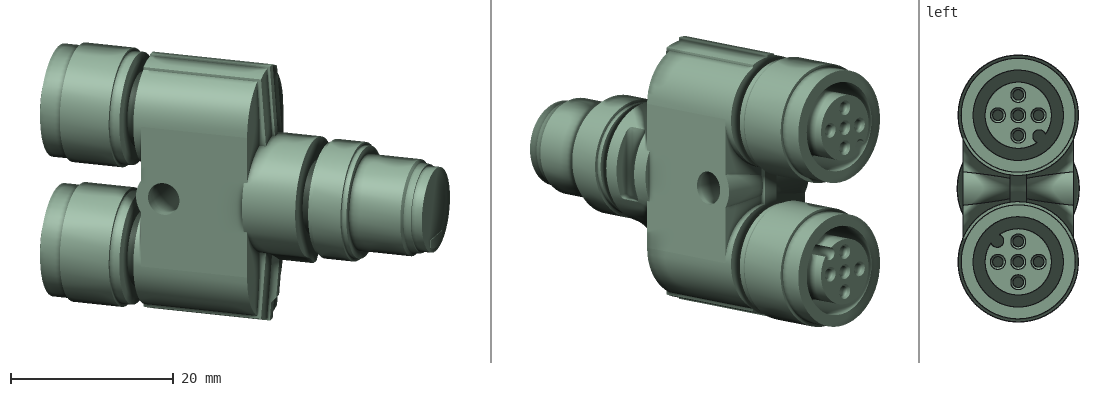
import cadquery as cq
import math


SOCKET_OFFSET = 9.0
INSERT_RADIUS = 4.07
SOCKET_BORE_RADIUS = 5.55
SOCKET_BORE_END = 8.0
SOCKET_NUT_FRONT = 1.0
SOCKET_GRIP_START = 3.7
SOCKET_GRIP_END = 10.05
SOCKET_CHAMFER_START = 11.3
SOCKET_NUT_END = 11.55
SOCKET_CHAMFER_RADIUS = 6.2
CONTACT_PITCH_RADIUS = 2.5
CONTACT_MOUTH_RADIUS = 0.92
CONTACT_RADIUS = 0.65
CONTACT_DEPTH = 5.0
OUTER_CONTACTS = 4
KEYWAY_RADIUS = 0.8
KEYWAY_PITCH_RADIUS = 3.65

GRIP_RADIUS = 7.395
NUT_RADIUS = 7.0
NECK_RADIUS = 4.67

BODY_START = 13.05
BODY_END = 27.83
BODY_RADIUS = 6.8
BAND_RADIUS = 7.11
BAND_END = 28.28
BAND_WIDTH = 6.0
RIB_RADIUS = 7.39
RIB_END = 28.62
RIB_WIDTH = 1.06
END_SLOPE = 0.075

RECESS_DEPTH = 1.0
FLOOR_DRAFT = math.radians(4.2)
WEB_WIDTH = 2.0
HOLE_X = 17.0
HOLE_RADIUS = 2.04
BOSS_RADIUS = 3.6

COLLAR_START = 27.4
COLLAR_END = 34.31
COLLAR_RADIUS = 7.5
KEEL_BOTTOM = -8.37
KEEL_BLEND_ANGLE = math.radians(70)
KEEL_FRONT_TOP_X = 29.2
KEEL_FRONT_TOP_Z = -7.45
POCKET_START = 29.4
POCKET_LENGTH = 3.1
POCKET_FLOOR_Y = 5.3
POCKET_BOTTOM_Z = -3.56
POCKET_CORNER = 0.5

FIN_TOP_X = 29.85
FIN_LOW_X = 29.45
FIN_LOW_Z = -13.3
FIN_TIP_X = 28.6
FIN_TIP_Z = -14.2

PLUG_NUT_START = 35.82
PLUG_GRIP_START = 36.39
PLUG_GRIP_END = 40.16
PLUG_NUT_END = 40.8
PLUG_RADIUS = 6.0
PLUG_SHOULDER = 47.44
PLUG_BEVEL_END = 47.75
PLUG_BEVEL_RADIUS = 5.65
PLUG_LIP_END = 48.64
PLUG_LIP_RADIUS = 5.5
PLUG_TIP_RADIUS = 5.3
PLUG_TIP_END = 50.0
TAB_LENGTH = 0.08
TAB_WIDTH = 4.4
TAB_TOP = -3.3
TAB_RADIUS = 4.8


def rod(start, end, radius, y=0.0, z=0.0):
    """Cylinder along X."""
    return cq.Workplane("YZ", origin=(start, y, z)).circle(radius).extrude(end - start)


def turned(profile):
    """Solid of revolution about the X axis from (x, radius) points."""
    return cq.Workplane("XY").polyline(profile).close().revolve(360, (0, 0, 0), (1, 0, 0))


def block(x_range, y_range, z_range):
    """Box between the given limits."""
    size = [high - low for low, high in (x_range, y_range, z_range)]
    corner = (x_range[0], y_range[0], z_range[0])
    return cq.Workplane("XY").box(*size, centered=False).translate(corner)


def make_socket():
    """One socket centred on the X axis, with its keyway towards -Y and -Z."""
    socket = turned([
        (SOCKET_NUT_FRONT, 0),
        (SOCKET_NUT_FRONT, NUT_RADIUS),
        (SOCKET_GRIP_START, NUT_RADIUS),
        (SOCKET_GRIP_START, GRIP_RADIUS),
        (SOCKET_GRIP_END, GRIP_RADIUS),
        (SOCKET_GRIP_END, NUT_RADIUS),
        (SOCKET_CHAMFER_START, NUT_RADIUS),
        (SOCKET_NUT_END, SOCKET_CHAMFER_RADIUS),
        (SOCKET_NUT_END, NECK_RADIUS),
        (BODY_START, NECK_RADIUS),
        (BODY_START, 0),
    ])
    socket = socket.cut(rod(0, SOCKET_BORE_END, SOCKET_BORE_RADIUS))
    socket = socket.union(rod(0, SOCKET_BORE_END, INSERT_RADIUS))

    mouth_depth = CONTACT_MOUTH_RADIUS - CONTACT_RADIUS
    contact = turned([
        (0, 0),
        (0, CONTACT_MOUTH_RADIUS),
        (mouth_depth, CONTACT_RADIUS),
        (CONTACT_DEPTH, CONTACT_RADIUS),
        (CONTACT_DEPTH, 0),
    ])
    socket = socket.cut(contact)
    for index in range(OUTER_CONTACTS):
        angle = 2 * math.pi * index / OUTER_CONTACTS
        y = CONTACT_PITCH_RADIUS * math.cos(angle)
        z = CONTACT_PITCH_RADIUS * math.sin(angle)
        socket = socket.cut(contact.translate((0, y, z)))

    keyway_offset = -KEYWAY_PITCH_RADIUS * math.sqrt(0.5)
    return socket.cut(rod(0, SOCKET_BORE_END, KEYWAY_RADIUS, keyway_offset, keyway_offset))


def main_body():
    """Rounded slab around both socket axes whose +X end rises gently inward on all sides."""
    peak = BODY_END + END_SLOPE * BODY_RADIUS
    lobe = turned([(BODY_START, 0), (BODY_START, BODY_RADIUS), (BODY_END, BODY_RADIUS), (peak, 0)])
    slab = (
        cq.Workplane("XY", origin=(0, 0, -SOCKET_OFFSET))
        .polyline([
            (BODY_START, -BODY_RADIUS),
            (BODY_END, -BODY_RADIUS),
            (peak, 0),
            (BODY_END, BODY_RADIUS),
            (BODY_START, BODY_RADIUS),
        ])
        .close()
        .extrude(2 * SOCKET_OFFSET)
    )
    for side in (-1, 1):
        slab = slab.union(lobe.translate((0, 0, side * SOCKET_OFFSET)))
    return slab


def strip(radius, end, width):
    """Raised central strip over both lobes, its +X end rising towards the mid-plane."""
    reach = SOCKET_OFFSET + radius
    peak = end + END_SLOPE * reach
    side_shape = (
        cq.Workplane("XZ", origin=(0, width / 2, 0))
        .polyline([(BODY_START, -reach), (end, -reach), (peak, 0), (end, reach), (BODY_START, reach)])
        .close()
        .extrude(width)
    )
    rounded = block((BODY_START, peak), (-radius, radius), (-SOCKET_OFFSET, SOCKET_OFFSET))
    for side in (-1, 1):
        rounded = rounded.union(rod(BODY_START, peak, radius, z=side * SOCKET_OFFSET))
    return side_shape.intersect(rounded)


def make_recess():
    """Space cut between the socket lobes on both sides of the central web."""
    web_half = WEB_WIDTH / 2
    floor_outer = BODY_START + RECESS_DEPTH
    floor_inner = floor_outer - (BODY_RADIUS - web_half) * math.tan(FLOOR_DRAFT)
    side_recess = (
        cq.Workplane("XY", origin=(0, 0, -SOCKET_OFFSET))
        .polyline([
            (BODY_START, web_half),
            (floor_inner, web_half),
            (floor_outer, BODY_RADIUS),
            (BODY_START, BODY_RADIUS),
        ])
        .close()
        .extrude(2 * SOCKET_OFFSET)
    )
    boss = (
        cq.Workplane("XZ", origin=(HOLE_X, BODY_RADIUS, 0))
        .circle(BOSS_RADIUS)
        .extrude(BODY_RADIUS)
    )
    side_recess = side_recess.cut(boss)
    for side in (-1, 1):
        lobe = rod(BODY_START, floor_outer, BODY_RADIUS, z=side * SOCKET_OFFSET)
        side_recess = side_recess.cut(lobe)
    return side_recess.union(side_recess.mirror("XZ"))


def make_body():
    """Main body with its raised bands, recess and cross hole."""
    body = main_body()
    body = body.union(strip(BAND_RADIUS, BAND_END, BAND_WIDTH))
    body = body.union(strip(RIB_RADIUS, RIB_END, RIB_WIDTH))
    hole = (
        cq.Workplane("XZ", origin=(HOLE_X, BODY_RADIUS, 0))
        .circle(HOLE_RADIUS)
        .extrude(2 * BODY_RADIUS)
    )
    return body.cut(make_recess()).cut(hole)


def make_keel():
    """Ridge under the collar, its flanks hollow arcs tangent to the collar's surface."""
    across = math.cos(KEEL_BLEND_ANGLE)
    down = -math.sin(KEEL_BLEND_ANGLE)
    blend_y = COLLAR_RADIUS * across
    blend_z = COLLAR_RADIUS * down
    edge_y = RIB_WIDTH / 2
    chord_y = edge_y - blend_y
    chord_z = KEEL_BOTTOM - blend_z
    flank_radius = (chord_y**2 + chord_z**2) / (2 * (chord_y * across + chord_z * down))
    centre_y = (COLLAR_RADIUS + flank_radius) * across
    centre_z = (COLLAR_RADIUS + flank_radius) * down
    start_angle = math.atan2(blend_z - centre_z, blend_y - centre_y)
    end_angle = math.atan2(KEEL_BOTTOM - centre_z, edge_y - centre_y)
    middle_angle = (start_angle + end_angle) / 2
    middle_y = centre_y + flank_radius * math.cos(middle_angle)
    middle_z = centre_z + flank_radius * math.sin(middle_angle)
    keel = (
        cq.Workplane("YZ", origin=(COLLAR_START, 0, 0))
        .moveTo(0, 0)
        .lineTo(blend_y, blend_z)
        .threePointArc((middle_y, middle_z), (edge_y, KEEL_BOTTOM))
        .lineTo(-edge_y, KEEL_BOTTOM)
        .threePointArc((-middle_y, middle_z), (-blend_y, blend_z))
        .close()
        .extrude(COLLAR_END - COLLAR_START)
    )
    side_shape = (
        cq.Workplane("XZ", origin=(0, COLLAR_RADIUS, 0))
        .polyline([
            (KEEL_FRONT_TOP_X, 0),
            (KEEL_FRONT_TOP_X, KEEL_FRONT_TOP_Z),
            (FIN_TOP_X, KEEL_BOTTOM),
            (COLLAR_END, KEEL_BOTTOM),
            (COLLAR_END, 0),
        ])
        .close()
        .extrude(2 * COLLAR_RADIUS)
    )
    return keel.intersect(side_shape)


def make_collar():
    """Round collar with a keel underneath and a pocket on its +Y side, open towards +Z."""
    collar = rod(COLLAR_START, COLLAR_END, COLLAR_RADIUS).union(make_keel())
    pocket = (
        block(
            (POCKET_START, POCKET_START + POCKET_LENGTH),
            (POCKET_FLOOR_Y, 2 * COLLAR_RADIUS),
            (POCKET_BOTTOM_Z, COLLAR_RADIUS),
        )
        .edges("(|Y and <Z) or (|Z and <Y)")
        .fillet(POCKET_CORNER)
    )
    return collar.cut(pocket)


def make_fin():
    """Upright fin on the body's end, below the collar and in line with the rib."""
    return (
        cq.Workplane("XZ", origin=(0, RIB_WIDTH / 2, 0))
        .polyline([
            (COLLAR_START, 0),
            (FIN_TOP_X, 0),
            (FIN_TOP_X, KEEL_BOTTOM),
            (FIN_LOW_X, FIN_LOW_Z),
            (FIN_TIP_X, FIN_TIP_Z),
            (COLLAR_START, FIN_TIP_Z),
        ])
        .close()
        .extrude(RIB_WIDTH)
    )


def make_plug():
    """Neck, coupling nut and sleeve of the plug, with the small tab on its tip."""
    plug = turned([
        (COLLAR_END, 0),
        (COLLAR_END, NECK_RADIUS),
        (PLUG_NUT_START, NECK_RADIUS),
        (PLUG_NUT_START, NUT_RADIUS),
        (PLUG_GRIP_START, NUT_RADIUS),
        (PLUG_GRIP_START, GRIP_RADIUS),
        (PLUG_GRIP_END, GRIP_RADIUS),
        (PLUG_GRIP_END, NUT_RADIUS),
        (PLUG_NUT_END, NUT_RADIUS),
        (PLUG_NUT_END, PLUG_RADIUS),
        (PLUG_SHOULDER, PLUG_RADIUS),
        (PLUG_BEVEL_END, PLUG_BEVEL_RADIUS),
        (PLUG_LIP_END, PLUG_LIP_RADIUS),
        (PLUG_LIP_END, PLUG_TIP_RADIUS),
        (PLUG_TIP_END, PLUG_TIP_RADIUS),
        (PLUG_TIP_END, 0),
    ])
    tab_limits = block(
        (PLUG_TIP_END, PLUG_TIP_END + TAB_LENGTH),
        (-TAB_WIDTH / 2, TAB_WIDTH / 2),
        (-TAB_RADIUS, TAB_TOP),
    )
    tab = rod(PLUG_TIP_END, PLUG_TIP_END + TAB_LENGTH, TAB_RADIUS).intersect(tab_limits)
    return plug.union(tab)


upper_socket = make_socket().translate((0, 0, SOCKET_OFFSET))
lower_socket = upper_socket.rotate((0, 0, 0), (1, 0, 0), 180)

result = make_body()
for piece in (make_collar(), make_fin(), make_plug(), upper_socket, lower_socket):
    result = result.union(piece)